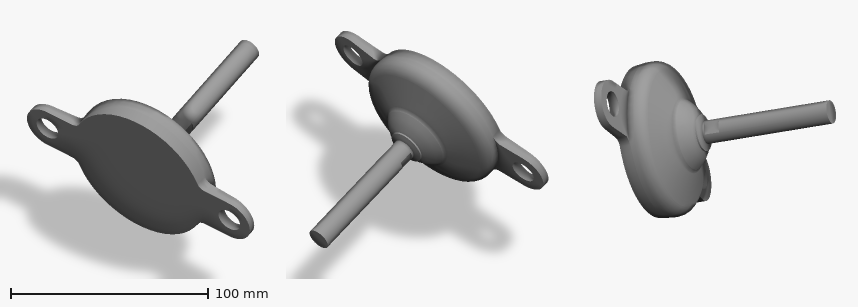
import cadquery as cq
import math

overall_length = 136.0
overall_height = 101.5

base_radius = 40.0
sole_radius = 39.2
taper_height = 6.3
shoulder_start = 9.1
shoulder_radius = 6.8
cone_angle = math.radians(22)
cone_top_radius = 19.6
dome_radius = 23.1
dome_start = 23.4
dome_top = 29.9
dome_top_radius = 9.5

lug_radius = 12.5
lug_hole_diameter = 13.2
lug_center = overall_length / 2 - lug_radius
lug_tip_height = 4.1
lug_root_height = 5.8
lug_root_x = 40.8
lug_corner_radius = 5.0

stud_radius = 6.0
collar_rim_top = 30.7
collar_top = 32.1
flat_start = 33.3
flat_end = 41.3
across_flats = 10.0


def make_round_base():
    """Revolved base: tapered skirt, rounded shoulder, cone and spherical dome."""
    shoulder_center_radius = base_radius - shoulder_radius

    def shoulder_point(angle):
        return (
            shoulder_center_radius + shoulder_radius * math.cos(angle),
            shoulder_start + shoulder_radius * math.sin(angle),
        )

    shoulder_sweep = math.pi / 2 - cone_angle
    shoulder_end = shoulder_point(shoulder_sweep)
    cone_rise = (shoulder_end[0] - cone_top_radius) * math.tan(cone_angle)
    cone_top = shoulder_end[1] + cone_rise

    dome_center = dome_top - math.sqrt(dome_radius**2 - dome_top_radius**2)

    def dome_point(height):
        return (math.sqrt(dome_radius**2 - (height - dome_center) ** 2), height)

    profile = (
        cq.Workplane("XY")
        .lineTo(sole_radius, 0)
        .lineTo(base_radius, taper_height)
        .lineTo(base_radius, shoulder_start)
        .threePointArc(shoulder_point(shoulder_sweep / 2), shoulder_end)
        .lineTo(cone_top_radius, cone_top)
        .tangentArcPoint(dome_point(dome_start), relative=False)
        .threePointArc(dome_point((dome_start + dome_top) / 2), (dome_top_radius, dome_top))
        .lineTo(0, dome_top)
        .close()
    )
    return profile.revolve(360, (0, 0, 0), (0, 1, 0))


def make_lug_plate():
    """Both lugs joined by a disc, with the corners between them rounded, with tops falling to the tips."""
    slot_length = 2 * (lug_center + lug_radius)
    lugs = cq.Workplane("XZ").slot2D(slot_length, 2 * lug_radius).extrude(-lug_root_height)
    disc_top_radius = sole_radius + (base_radius - sole_radius) * lug_root_height / taper_height
    disc = (
        cq.Workplane("XY")
        .lineTo(sole_radius, 0)
        .lineTo(disc_top_radius, lug_root_height)
        .lineTo(0, lug_root_height)
        .close()
        .revolve(360, (0, 0, 0), (0, 1, 0))
    )
    corner_x = math.sqrt(sole_radius**2 - lug_radius**2)
    plate = lugs.union(disc)
    for x in (-corner_x, corner_x):
        for z in (-lug_radius, lug_radius):
            corner = cq.selectors.NearestToPointSelector((x, lug_root_height / 2, z))
            plate = plate.edges(corner).fillet(lug_corner_radius)

    tip_x = overall_length / 2
    side_outline = [
        (-tip_x, 0),
        (tip_x, 0),
        (tip_x, lug_tip_height),
        (lug_root_x, lug_root_height),
        (-lug_root_x, lug_root_height),
        (-tip_x, lug_tip_height),
    ]
    envelope = cq.Workplane("XY").polyline(side_outline).close().extrude(base_radius, both=True)
    return plate.intersect(envelope)


def make_foot():
    """Base and lugs as one body, with a through hole in each lug."""
    holes = (
        cq.Workplane("XZ")
        .pushPoints([(-lug_center, 0), (lug_center, 0)])
        .circle(lug_hole_diameter / 2)
        .extrude(-lug_root_height)
    )
    return make_round_base().union(make_lug_plate()).cut(holes)


def make_stud():
    """Round stud with a conical collar resting on the dome and two wrench flats."""
    stud = (
        cq.Workplane("XY")
        .moveTo(0, dome_top)
        .lineTo(dome_top_radius, dome_top)
        .lineTo(dome_top_radius, collar_rim_top)
        .lineTo(stud_radius, collar_top)
        .lineTo(stud_radius, overall_height)
        .lineTo(0, overall_height)
        .close()
        .revolve(360, (0, 0, 0), (0, 1, 0))
    )
    flat_length = flat_end - flat_start
    for side in (-1, 1):
        cutter = cq.Workplane("XY").box(stud_radius, flat_length, 2 * stud_radius)
        cutter_x = side * (across_flats + stud_radius) / 2
        stud = stud.cut(cutter.translate((cutter_x, flat_start + flat_length / 2, 0)))
    return stud


foot = make_foot()
stud = make_stud()
result = cq.Compound.makeCompound([foot.solids().val(), stud.solids().val()])